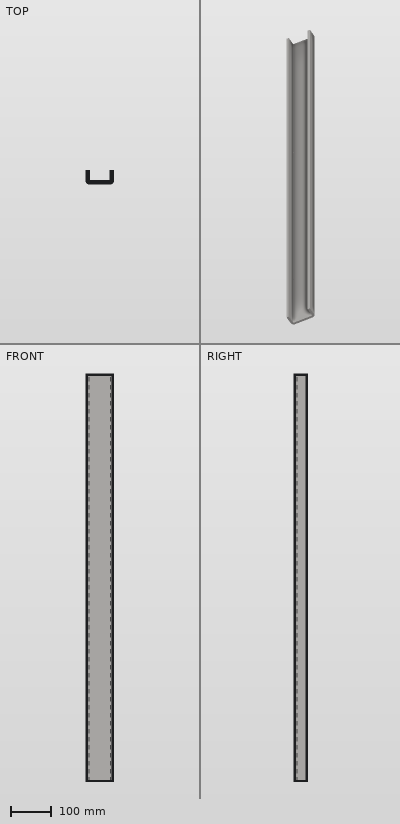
import cadquery as cq

width = 65.0
depth = 30.0
length = 1000.0

wall = 6.0
outer_radius = 8.0
inner_radius = outer_radius - wall


def channel():
    """U-shaped channel along Z with its web on the -Y side, open toward +Y."""
    outer = (
        cq.Workplane("XY")
        .rect(width, depth)
        .extrude(length)
        .edges("|Z and <Y")
        .fillet(outer_radius)
    )
    cavity = (
        cq.Workplane("XY")
        .center(0, wall)
        .rect(width - 2 * wall, depth)
        .extrude(length)
        .edges("|Z and <Y")
        .fillet(inner_radius)
    )
    return outer.cut(cavity)


result = channel()